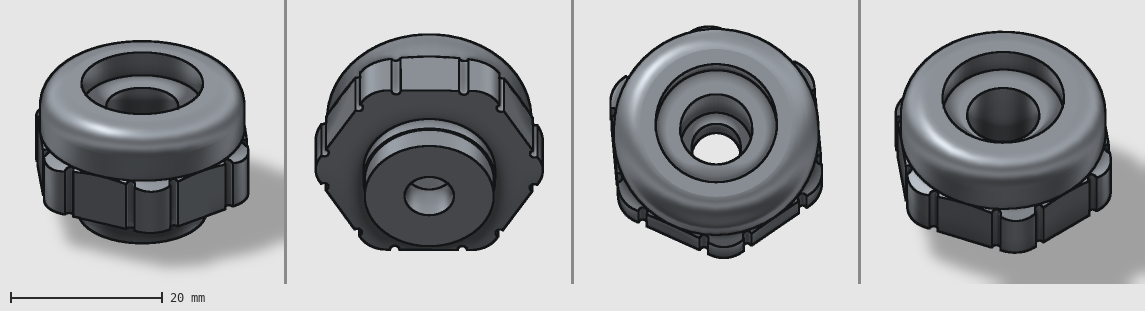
import cadquery as cq
import math

total_height = 19.5
hex_bottom = 5.4
collar_bottom = 3.4
hex_top = 12.55

cap_diameter = 27.0
cap_edge_radius = 3.5

across_flats = 27.01
across_rounded_corners = 29.96
hex_sides = 6
corner_chamfer_angle = 30.0

groove_radius = 0.6
groove_offset = 4.45
groove_inset = 0.07

collar_diameter = 17.4
spigot_diameter = 17.0

pocket_diameter = 16.0
pocket_depth = 3.5
seat_diameter = 9.5
through_diameter = 6.5

side_angle = 360.0 / hex_sides
half_side_angle = math.radians(side_angle / 2)
sharp_corner_diameter = across_flats / math.cos(half_side_angle)
corner_cut = (sharp_corner_diameter - across_rounded_corners) / 2
corner_radius = corner_cut / (1 / math.cos(half_side_angle) - 1)


def cylinder(diameter, bottom, top):
    return cq.Workplane("XY").workplane(offset=bottom).circle(diameter / 2).extrude(top - bottom)


def rounded_hexagon():
    """Hexagonal grip with flats facing +X and -X and rounded vertical corners."""
    return (
        cq.Workplane("XY")
        .workplane(offset=hex_bottom)
        .transformed(rotate=(0, 0, side_angle / 2))
        .polygon(hex_sides, sharp_corner_diameter)
        .extrude(hex_top - hex_bottom)
        .edges("|Z")
        .fillet(corner_radius)
    )


def chamfer_envelope():
    """Turned body whose conical top starts at the cap wall and slopes down outwards."""
    inner_radius = cap_diameter / 2
    outer_radius = sharp_corner_diameter / 2
    drop = (outer_radius - inner_radius) * math.tan(math.radians(corner_chamfer_angle))
    return (
        cq.Workplane("XZ")
        .moveTo(0, hex_bottom)
        .lineTo(outer_radius, hex_bottom)
        .lineTo(outer_radius, hex_top - drop)
        .lineTo(inner_radius, hex_top)
        .lineTo(0, hex_top)
        .close()
        .revolve(360, (0, 0, 0), (0, 1, 0))
    )


def grip_grooves():
    """Round grooves along Z, a mirrored pair on each flat."""
    centre_x = across_flats / 2 - groove_inset
    pair = (
        cq.Workplane("XY")
        .workplane(offset=hex_bottom)
        .pushPoints([(centre_x, -groove_offset), (centre_x, groove_offset)])
        .circle(groove_radius)
        .extrude(hex_top - hex_bottom)
    )
    all_grooves = pair
    for side in range(1, hex_sides):
        turned_pair = pair.rotate((0, 0, 0), (0, 0, 1), side * side_angle)
        all_grooves = all_grooves.union(turned_pair)
    return all_grooves


def cap():
    return cylinder(cap_diameter, hex_top, total_height).faces(">Z").edges().fillet(cap_edge_radius)


def stepped_bore():
    pocket = cylinder(pocket_diameter, total_height - pocket_depth, total_height)
    seat = cylinder(seat_diameter, hex_bottom, total_height)
    through = cylinder(through_diameter, 0, total_height)
    return pocket.union(seat).union(through)


grip = rounded_hexagon().intersect(chamfer_envelope()).cut(grip_grooves())
collar = cylinder(collar_diameter, collar_bottom, hex_bottom)
spigot = cylinder(spigot_diameter, 0, collar_bottom)

result = grip.union(cap()).union(collar).union(spigot).cut(stepped_bore())